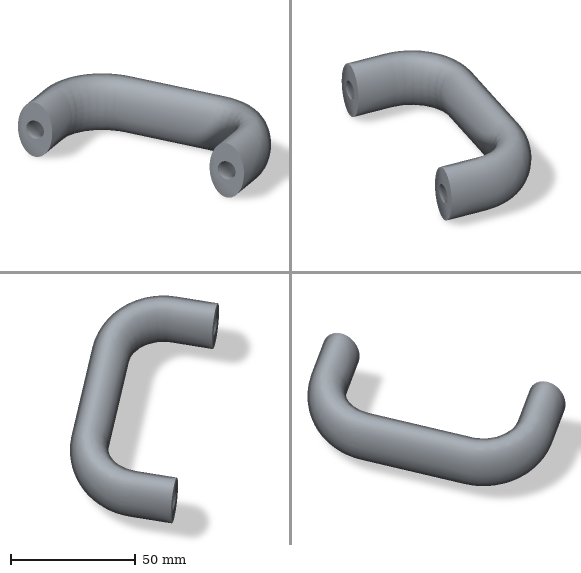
import cadquery as cq

length = 102.0
depth = 46.5
grip_width = 15.5
grip_height = 24.0

bend_radius = 21.6
leg_x = (length - grip_width) / 2
grip_y = depth - grip_width / 2
leg_length = grip_y - bend_radius
grip_half_length = leg_x - bend_radius

hole_diameter = 8.0
hole_depth = 15.3
tip_depth = 2.3


def make_handle():
    """Sweep the ellipse along the U-shaped centreline."""
    centreline = (
        cq.Workplane("XY")
        .moveTo(-leg_x, 0)
        .lineTo(-leg_x, leg_length)
        .tangentArcPoint((-grip_half_length, grip_y), relative=False)
        .lineTo(grip_half_length, grip_y)
        .tangentArcPoint((leg_x, leg_length), relative=False)
        .lineTo(leg_x, 0)
    )
    section = cq.Workplane("XZ", origin=(-leg_x, 0, 0)).ellipse(grip_width / 2, grip_height / 2)
    return section.sweep(centreline)


def make_hole(x):
    """Drilled hole along +Y from the leg end, revolved about its own axis."""
    return (
        cq.Workplane("XY", origin=(x, 0, 0))
        .lineTo(hole_diameter / 2, 0)
        .lineTo(hole_diameter / 2, hole_depth)
        .lineTo(0, hole_depth + tip_depth)
        .close()
        .revolve(360, (0, 0), (0, 1))
    )


result = make_handle()
for x in (-leg_x, leg_x):
    result = result.cut(make_hole(x))